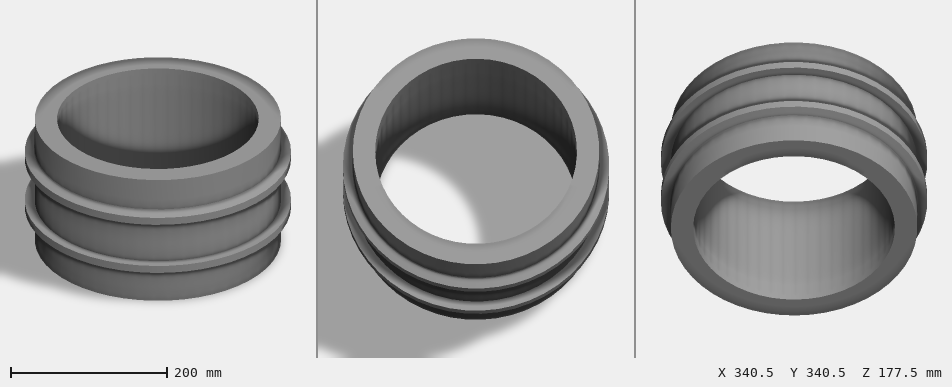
import cadquery as cq

collar_diameter = 340.5
body_diameter = 315.0
bore_diameter = 257.5
height = 177.5

collar_gap = 60.5
rim_height = 10.2
slope_height = 4.0
root_fillet = 1.7

collar_radius = collar_diameter / 2
body_radius = body_diameter / 2
bore_radius = bore_diameter / 2
inner_face = collar_gap / 2
rim_edge = inner_face + rim_height
slope_end = rim_edge + slope_height


def make_sleeve():
    """Plain tube centred on the origin."""
    tube = cq.Workplane("XY").workplane(offset=-height / 2)
    return tube.circle(body_radius).circle(bore_radius).extrude(height)


def make_collar(side):
    """Collar above (side = 1) or below (side = -1) the middle plane."""
    outline = [
        (bore_radius, side * inner_face),
        (collar_radius, side * inner_face),
        (collar_radius, side * rim_edge),
        (body_radius, side * slope_end),
        (bore_radius, side * slope_end),
    ]
    profile = cq.Workplane("XZ").polyline(outline).close()
    return profile.revolve(360, (0, 0, 0), (0, 1, 0))


def select_slope_root(side):
    """Box around the circle where a collar's slope meets the sleeve."""
    margin = slope_height / 2
    reach = collar_radius
    return cq.selectors.BoxSelector(
        (-reach, -reach, side * slope_end - margin),
        (reach, reach, side * slope_end + margin),
    )


result = make_sleeve()
for side in (1, -1):
    result = result.union(make_collar(side))
    result = result.edges("%CIRCLE").edges(select_slope_root(side)).fillet(root_fillet)